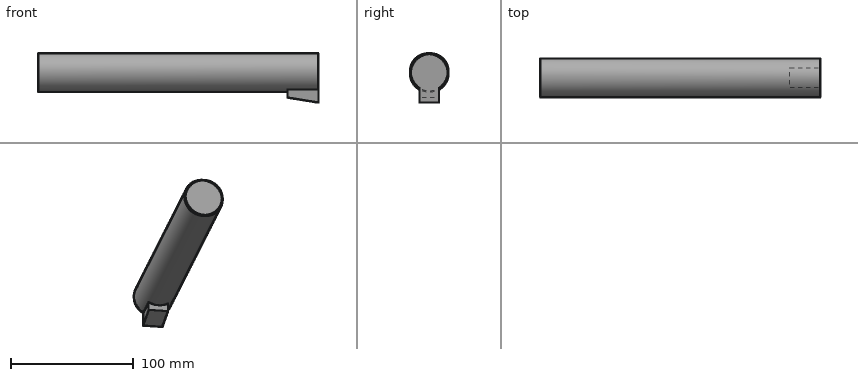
import cadquery as cq

bar_length = 228.5
bar_diameter = 31.8
bar_radius = bar_diameter / 2
bevel_length = 0.57
bevel_depth = 1.0
end_radius = bar_radius - bevel_depth

total_height = 40.5
key_length = 25.4
key_width = 16.0
key_rise = 4.1
key_bottom = bar_radius - total_height
key_start = bar_length - key_length

bar = (
    cq.Workplane("XZ")
    .lineTo(0, end_radius)
    .lineTo(bevel_length, bar_radius)
    .lineTo(bar_length - bevel_length, bar_radius)
    .lineTo(bar_length, end_radius)
    .lineTo(bar_length, 0)
    .close()
    .revolve(360, (0, 0, 0), (1, 0, 0))
)

key = (
    cq.Workplane("XZ")
    .moveTo(key_start, 0)
    .lineTo(bar_length, 0)
    .lineTo(bar_length, key_bottom)
    .lineTo(key_start, key_bottom + key_rise)
    .close()
    .extrude(key_width / 2, both=True)
)

result = bar.union(key)